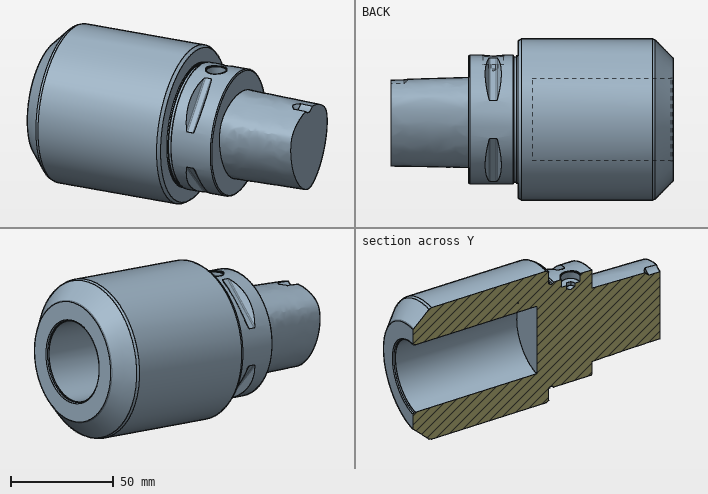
import cadquery as cq
import math

overall_length = 138.0
body_end = 75.9
flange_start = 78.4
flange_end = 100.0

body_diameter = 79.0
nose_diameter = 59.6
nose_edge_break = 0.4
nose_cone_end = 9.0
nose_blend_end = 10.4
nose_blend_drop = 0.5
rear_chamfer_length = 1.7
rear_chamfer_drop = 1.1

flange_diameter = 63.0
flange_chamfer = 0.5
neck_diameter = 62.4
neck_groove_depth = 0.5
neck_groove_start = 76.6
neck_groove_end = 77.8

bore_diameter = 40.0
mouth_diameter = 40.5
mouth_depth = 1.4
mouth_chamfer = 0.5
bore_depth = 69.0

shank_root_radius = 22.1
shank_tip_radius = 21.1
shank_root_lobe = 1.45
shank_tip_lobe = 1.7
lobe_count = 3
points_per_lobe = 16

slot_station = 88.0
slot_count = 4
slot_floor_distance = 27.9
slot_floor_width = 3.7
slot_corner_radius = 0.7
slot_wall_angle = 30.0
slot_length = 33.1

recess_diameter = 10.0
recess_rim_diameter = 10.6
recess_depth = 4.7
hex_across_flats = 4.0
hex_depth = 2.1
socket_cone_depth = 1.1

notch_diameter = 10.0
notch_length = 6.3
notch_axis_height = 22.5
drill_point_angle = 90.0


def make_turned_body():
    """Revolve the body, neck and flange about the X axis."""
    body_radius = body_diameter / 2
    nose_radius = nose_diameter / 2
    neck_radius = neck_diameter / 2
    flange_radius = flange_diameter / 2
    profile = [
        (0, 0),
        (0, nose_radius),
        (nose_edge_break, nose_radius + nose_edge_break),
        (nose_cone_end, body_radius - nose_blend_drop),
        (nose_blend_end, body_radius),
        (body_end - rear_chamfer_length, body_radius),
        (body_end, body_radius - rear_chamfer_drop),
        (body_end, neck_radius),
        (neck_groove_start, neck_radius),
        (neck_groove_start, neck_radius - neck_groove_depth),
        (neck_groove_end, neck_radius - neck_groove_depth),
        (flange_start, flange_radius),
        (flange_end - flange_chamfer, flange_radius),
        (flange_end, flange_radius - flange_chamfer),
        (flange_end, 0),
    ]
    return cq.Workplane("XY").polyline(profile).close().revolve(360, (0, 0, 0), (1, 0, 0))


def make_bore():
    """Blind bore with a slightly wider, chamfered mouth."""
    bore_radius = bore_diameter / 2
    mouth_radius = mouth_diameter / 2
    profile = [
        (0, 0),
        (0, mouth_radius + mouth_chamfer),
        (mouth_chamfer, mouth_radius),
        (mouth_depth, mouth_radius),
        (mouth_depth, bore_radius),
        (bore_depth, bore_radius),
        (bore_depth, 0),
    ]
    return cq.Workplane("XY").polyline(profile).close().revolve(360, (0, 0, 0), (1, 0, 0))


def lobe_points(mean_radius, lobe):
    """Points (Y, Z) of a curve of constant width with one lobe pointing to -Z."""
    count = lobe_count * points_per_lobe
    points = []
    for index in range(count):
        angle = 2 * math.pi * index / count
        phase = lobe_count * (angle + math.pi / 2)
        reach = mean_radius + lobe * math.cos(phase)
        slope = -lobe_count * lobe * math.sin(phase)
        y = reach * math.cos(angle) - slope * math.sin(angle)
        z = reach * math.sin(angle) + slope * math.cos(angle)
        points.append((y, z))
    return points


def make_shank():
    """Loft the polygon shank from the flange to the rear end."""
    return (
        cq.Workplane("YZ", origin=(flange_end, 0, 0))
        .spline(lobe_points(shank_root_radius, shank_root_lobe), periodic=True)
        .close()
        .workplane(offset=overall_length - flange_end)
        .spline(lobe_points(shank_tip_radius, shank_tip_lobe), periodic=True)
        .close()
        .loft(ruled=True)
    )


def make_gripper_slot():
    """Straight trapezoidal slot across the +Z side of the flange."""
    top_distance = flange_diameter / 2 + 1.4
    half_floor = slot_floor_width / 2
    spread = (top_distance - slot_floor_distance) * math.tan(math.radians(slot_wall_angle))
    section = [
        (slot_station - half_floor, slot_floor_distance),
        (slot_station + half_floor, slot_floor_distance),
        (slot_station + half_floor + spread, top_distance),
        (slot_station - half_floor - spread, top_distance),
    ]
    slot = cq.Workplane("XZ").polyline(section).close().extrude(slot_length)
    return slot.edges("|Y and <Z").fillet(slot_corner_radius).translate((0, slot_length / 2, 0))


def make_screw_recess():
    """Round recess in the top of the flange with a hexagon socket and a conical socket floor."""
    top = flange_diameter / 2
    floor = top - recess_depth
    radius = recess_diameter / 2
    rim_radius = recess_rim_diameter / 2
    rim_height = rim_radius - radius
    rim_base = math.sqrt(top**2 - rim_radius**2) - rim_height
    recess = (
        cq.Workplane("XZ")
        .polyline([(0, floor), (radius, floor), (radius, rim_base), (rim_radius, rim_base + rim_height),
                   (rim_radius, top), (0, top)])
        .close()
        .revolve(360, (0, 0, 0), (0, 1, 0))
    )
    hex_floor = floor - hex_depth
    hex_across_corners = hex_across_flats / math.cos(math.pi / 6)
    socket = cq.Workplane("XY", origin=(0, 0, hex_floor)).polygon(6, hex_across_corners).extrude(hex_depth)
    cone = cq.Solid.makeCone(
        hex_across_flats / 2, 0, socket_cone_depth, cq.Vector(0, 0, hex_floor), cq.Vector(0, 0, -1)
    )
    return recess.union(socket).union(cq.Workplane(cone)).translate((slot_station, 0, 0))


def make_shank_notch():
    """Shallow round-bottomed notch with a conical end, open to the rear face."""
    radius = notch_diameter / 2
    point_length = radius / math.tan(math.radians(drill_point_angle / 2))
    start = overall_length - notch_length
    profile = [
        (start - point_length, 0),
        (start, radius),
        (overall_length, radius),
        (overall_length, 0),
    ]
    drill = cq.Workplane("XY").polyline(profile).close().revolve(360, (0, 0, 0), (1, 0, 0))
    return drill.translate((0, 0, notch_axis_height))


result = make_turned_body().union(make_shank()).cut(make_bore())
for slot_index in range(slot_count):
    slot_angle = 360 / slot_count * (slot_index + 0.5)
    result = result.cut(make_gripper_slot().rotate((0, 0, 0), (1, 0, 0), slot_angle))
result = result.cut(make_screw_recess()).cut(make_shank_notch())